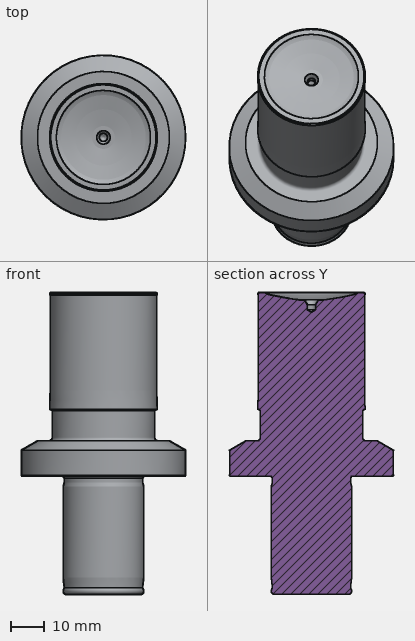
import cadquery as cq
import math

total_height = 90.0

shank_radius = 12.05
shank_bottom = 5.1
shank_top = 32.15
relief_radius = 11.75
relief_bottom = 33.3
relief_top = 34.65

foot_neck_radius = 11.7
foot_neck_bottom = 2.1
lip_joint_radius = 11.9
lip_joint_height = 1.6
foot_face_radius = 11.0

flange_radius = 24.5
flange_bottom = 35.2
flange_edge_chamfer = 0.3
flange_cone_bottom = 43.0
flange_land_radius = 19.65
flange_cone_angle = 30.0

neck_radius = 15.3
neck_fillet = 1.0
head_radius = 15.9
rim_radius = 16.05
lower_rim_chamfer_bottom = 54.75
lower_rim_bottom = 55.2
head_taper_top = 60.7
upper_rim_taper_bottom = 89.1
upper_rim_bottom = 89.4
upper_rim_top = 89.7
top_land_outer_radius = 15.65

recess_mouth_radius = 14.0
recess_curve_radius = 13.35
recess_curve_depth = 0.34
recess_edge_radius = 12.6
recess_edge_depth = 0.65
dish_middle_radius = 8.4
dish_middle_depth = 1.5
centre_flat_radius = 3.4
centre_flat_depth = 2.27

countersink_radius = 2.0
countersink_angle = 60.0
pilot_radius = 1.2
pilot_length = 1.5
drill_point_angle = 118.0

flange_land_height = flange_cone_bottom + (
    (flange_radius - flange_land_radius) * math.tan(math.radians(flange_cone_angle))
)
centre_flat_height = total_height - centre_flat_depth


def make_body():
    """Revolve the outer profile from the foot up to the dished top face."""
    corner = math.sqrt(0.5)
    fillet_mid = (
        neck_radius + neck_fillet * (1 - corner),
        flange_land_height + neck_fillet * (1 - corner),
    )
    profile = (
        cq.Workplane("XZ")
        .lineTo(foot_face_radius, 0)
        .tangentArcPoint((lip_joint_radius, lip_joint_height), relative=False)
        .lineTo(foot_neck_radius, foot_neck_bottom)
        .lineTo(shank_radius, shank_bottom)
        .lineTo(shank_radius, shank_top)
        .lineTo(relief_radius, relief_bottom)
        .lineTo(relief_radius, relief_top)
        .lineTo(shank_radius, flange_bottom)
        .lineTo(flange_radius - flange_edge_chamfer, flange_bottom)
        .lineTo(flange_radius, flange_bottom + flange_edge_chamfer)
        .lineTo(flange_radius, flange_cone_bottom)
        .lineTo(flange_land_radius, flange_land_height)
        .lineTo(neck_radius + neck_fillet, flange_land_height)
        .threePointArc(fillet_mid, (neck_radius, flange_land_height + neck_fillet))
        .lineTo(neck_radius, lower_rim_chamfer_bottom)
        .lineTo(rim_radius, lower_rim_bottom)
        .lineTo(head_radius, head_taper_top)
        .lineTo(head_radius, upper_rim_taper_bottom)
        .lineTo(rim_radius, upper_rim_bottom)
        .lineTo(rim_radius, upper_rim_top)
        .lineTo(top_land_outer_radius, total_height)
        .lineTo(recess_mouth_radius, total_height)
        .threePointArc(
            (recess_curve_radius, total_height - recess_curve_depth),
            (recess_edge_radius, total_height - recess_edge_depth),
        )
        .lineTo(dish_middle_radius, total_height - dish_middle_depth)
        .lineTo(centre_flat_radius, centre_flat_height)
        .lineTo(0, centre_flat_height)
        .close()
    )
    return profile.revolve(360, (0, 0, 0), (0, 1, 0))


def make_centre_hole():
    """Countersink, pilot and drill point, as a solid to be removed."""
    countersink_depth = (countersink_radius - pilot_radius) / math.tan(math.radians(countersink_angle / 2))
    point_depth = pilot_radius / math.tan(math.radians(drill_point_angle / 2))
    pilot_top = centre_flat_height - countersink_depth
    pilot_bottom = pilot_top - pilot_length
    profile = (
        cq.Workplane("XZ")
        .moveTo(0, centre_flat_height)
        .lineTo(countersink_radius, centre_flat_height)
        .lineTo(pilot_radius, pilot_top)
        .lineTo(pilot_radius, pilot_bottom)
        .lineTo(0, pilot_bottom - point_depth)
        .close()
    )
    return profile.revolve(360, (0, 0, 0), (0, 1, 0))


result = make_body().cut(make_centre_hole())